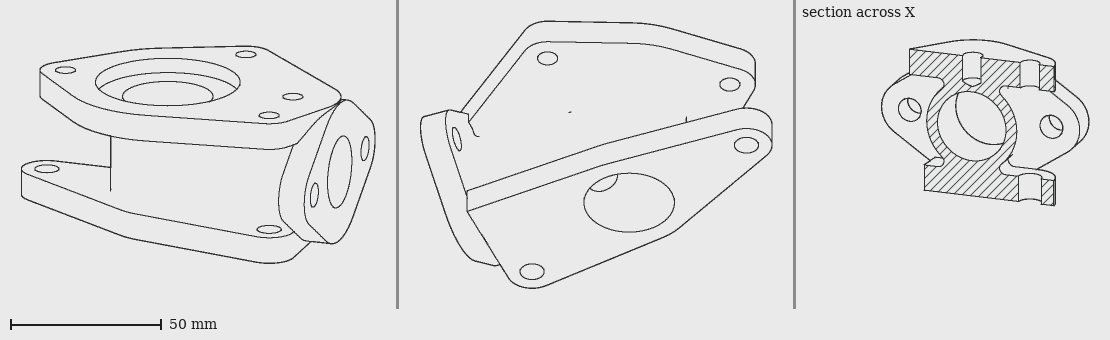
import math

import cadquery as cq


height = 49.0
plate_thickness = 9.0
bore_diameter = 30.0
wall = 4.0
tube_radius = bore_diameter / 2 + wall
seat_diameter = 48.0
seat_depth = 5.0
fillet_radius = 2.0
fillet_margin = 0.01
lug_radius = 8.5

branch_bore_diameter = 24.0
branch_radius = branch_bore_diameter / 2 + wall
branch_z = height / 2
flange_face_x = 60.5
flange_thickness = 9.0
flange_back_x = flange_face_x - flange_thickness
flange_hub_radius = 24.0
flange_lug_radius = 10.0
flange_hole_offset = 25.0

top_hub_radius = 34.5
top_nose_radius = 16.0
top_hole_diameter = 6.65
top_left_hole = (-36.0, 0.0)
top_back_hole = (15.0, 35.0)
top_front_hole = (43.0, -20.5)
blind_hole = (44.0, 0.0)
blind_hole_depth = 9.0
drill_point_angle = 118.0

bottom_hub_radius = tube_radius + fillet_radius + fillet_margin
bolt_hole_diameter = 8.0
bottom_left_hole = (-47.0, 12.5)
bottom_right_hole = (flange_back_x - lug_radius, -20.5)
bottom_corner = (flange_back_x, branch_radius)

top_plate_z = height - plate_thickness


def on_circle(circle, angle):
    """Point at the given angle on a circle (x, y, radius)."""
    x, y, radius = circle
    return (x + radius * math.cos(angle), y + radius * math.sin(angle))


def tangent_angle(first, second):
    """Direction from both centres to their outer tangent line, for a counter-clockwise outline."""
    dx = second[0] - first[0]
    dy = second[1] - first[1]
    return math.atan2(dy, dx) - math.acos((first[2] - second[2]) / math.hypot(dx, dy))


def belt(workplane, circles):
    """Closed outline wrapped around counter-clockwise circles; a zero radius gives a sharp corner."""
    count = len(circles)
    leaving = [tangent_angle(circles[i], circles[(i + 1) % count]) for i in range(count)]
    outline = workplane.moveTo(*on_circle(circles[-1], leaving[-1]))
    for i, circle in enumerate(circles):
        arrive = leaving[i - 1]
        sweep = (leaving[i] - arrive) % (2 * math.pi)
        outline = outline.lineTo(*on_circle(circle, arrive))
        if circle[2] > 0:
            middle = on_circle(circle, arrive + sweep / 2)
            outline = outline.threePointArc(middle, on_circle(circle, leaving[i]))
    return outline.close()


def make_bottom_plate():
    circles = [
        (0.0, 0.0, bottom_hub_radius),
        (*bottom_right_hole, lug_radius),
        (*bottom_corner, 0.0),
        (0.0, 0.0, bottom_hub_radius),
        (*bottom_left_hole, lug_radius),
    ]
    return belt(cq.Workplane("XY"), circles).extrude(plate_thickness)


def make_top_plate():
    circles = [
        (0.0, 0.0, top_hub_radius),
        (*top_front_hole, lug_radius),
        (*blind_hole, top_nose_radius),
        (*top_back_hole, lug_radius),
        (0.0, 0.0, top_hub_radius),
        (*top_left_hole, lug_radius),
    ]
    return belt(cq.Workplane("XY", origin=(0, 0, top_plate_z)), circles).extrude(plate_thickness)


def make_flange():
    circles = [
        (0.0, 0.0, flange_hub_radius),
        (flange_hole_offset, 0.0, flange_lug_radius),
        (0.0, 0.0, flange_hub_radius),
        (-flange_hole_offset, 0.0, flange_lug_radius),
    ]
    plane = cq.Workplane("YZ", origin=(flange_back_x, 0, branch_z))
    return belt(plane, circles).extrude(flange_thickness)


def make_pipes():
    tube = cq.Workplane("XY").circle(tube_radius).extrude(height)
    branch = cq.Workplane("YZ", origin=(0, 0, branch_z)).circle(branch_radius).extrude(flange_back_x)
    return tube.union(branch)


def round_roots(body):
    """Fillet every edge where the tube and branch walls meet each other, the plates and the flange."""
    lower_corner = (-tube_radius, -tube_radius, plate_thickness)
    upper_corner = (flange_back_x, tube_radius, top_plate_z)
    pipe_walls = body.faces("%CYLINDER").faces(cq.selectors.BoxSelector(lower_corner, upper_corner))
    return pipe_walls.edges().fillet(fillet_radius)


def cut_bores(body):
    seat_z = height - seat_depth
    main_bore = cq.Workplane("XY").circle(bore_diameter / 2).extrude(height)
    seat = cq.Workplane("XY", origin=(0, 0, seat_z)).circle(seat_diameter / 2).extrude(seat_depth)
    branch_plane = cq.Workplane("YZ", origin=(0, 0, branch_z))
    branch_bore = branch_plane.circle(branch_bore_diameter / 2).extrude(flange_face_x)
    return body.cut(main_bore).cut(seat).cut(branch_bore)


def cut_plate_holes(body):
    bottom_plane = cq.Workplane("XY").pushPoints([bottom_left_hole, bottom_right_hole])
    bottom_holes = bottom_plane.circle(bolt_hole_diameter / 2).extrude(plate_thickness)
    top_plane = cq.Workplane("XY", origin=(0, 0, top_plate_z))
    top_plane = top_plane.pushPoints([top_left_hole, top_back_hole, top_front_hole])
    top_holes = top_plane.circle(top_hole_diameter / 2).extrude(plate_thickness)
    return body.cut(bottom_holes).cut(top_holes)


def cut_blind_hole(body):
    """Drilled hole with a conical end in the top plate, above the branch."""
    radius = top_hole_diameter / 2
    point_depth = radius / math.tan(math.radians(drill_point_angle / 2))
    profile = (
        cq.Workplane("XZ", origin=(*blind_hole, height))
        .lineTo(radius, 0)
        .lineTo(radius, -blind_hole_depth)
        .lineTo(0, -blind_hole_depth - point_depth)
        .close()
    )
    return body.cut(profile.revolve(360, (0, 0, 0), (0, 1, 0)))


def cut_flange_holes(body):
    plane = cq.Workplane("YZ", origin=(flange_back_x, 0, branch_z))
    plane = plane.pushPoints([(-flange_hole_offset, 0), (flange_hole_offset, 0)])
    return body.cut(plane.circle(bolt_hole_diameter / 2).extrude(flange_thickness))


body = make_pipes().union(make_bottom_plate()).union(make_top_plate()).union(make_flange())
body = round_roots(body)
body = cut_bores(body)
body = cut_plate_holes(body)
body = cut_blind_hole(body)
result = cut_flange_holes(body)